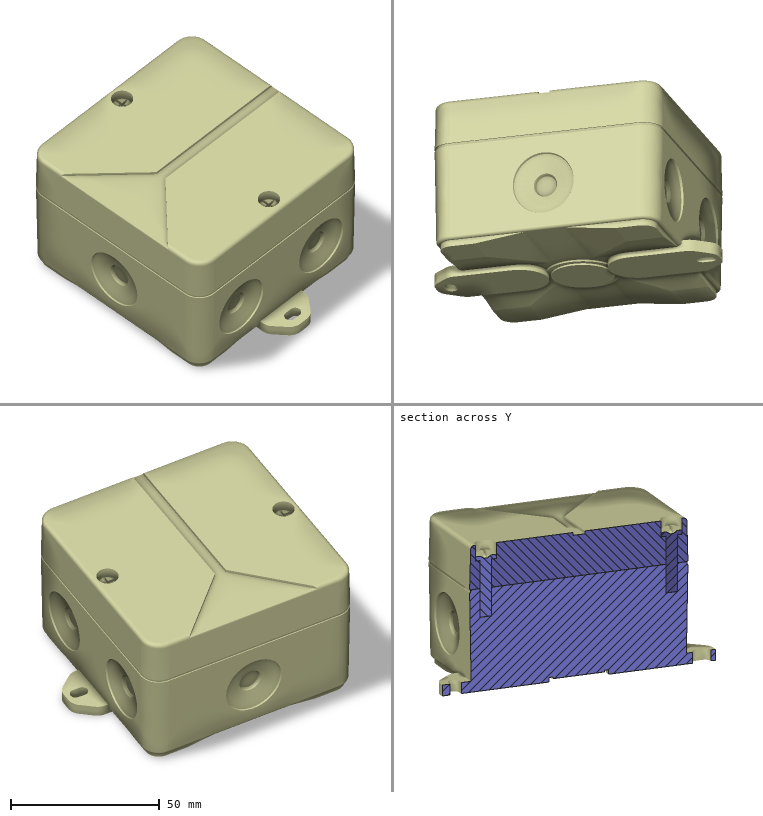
import cadquery as cq
import math

box_size = 80.0
total_height = 51.8
corner_radius = 7.0
base_draft = 1.0
lid_draft = 1.5
floor_z = 2.2
floor_fillet = 1.0
lid_bottom_z = 36.3
lid_fillet = 1.5

gap_height = 1.0
gap_inset = 0.4
base_rim_z = lid_bottom_z - gap_height

foot_inset = 2.0
foot_notch_half = 24.8
foot_notch_run_per_rise = 8.0

pad_diameter = 25.2
pad_step_z = 1.6
pad_tip_diameter = 21.4
pad_bottom_z = 1.0
pad_y = -5.0

lug_length = 100.0
lug_width = 20.0
lug_height = 4.0
lug_tip_width = 7.8
lug_shoulder_x = 42.5
lug_inner_x = 10.8
lug_corner_radius = 5.0
lug_slot_x = 45.0
lug_slot_length = 6.5
lug_slot_width = 4.0

entry_z = 18.5
entry_side_y = 19.5
entry_diameter = 21.6
entry_rim_diameter = 21.0
entry_rim_depth = 0.7
entry_cone_depth = 2.5
entry_well_diameter = 8.2
entry_floor_diameter = 7.2
entry_depth = 3.7

channel_depth = 1.0
channel_width = 4.2
channel_flare_y = -16.9

screw_x = 34.0
screw_head_diameter = 7.5
screw_crown_diameter = 4.0
screw_top_z = 49.0
screw_head_height = 2.8
screw_shank_diameter = 4.0
screw_shank_length = 20.0
drive_width = 1.0
drive_slot_depth = 1.3
drive_depth = 2.2
drive_tip_half = 0.6
drive_top_half = 4.0

half_box = box_size / 2
floor_overlap_z = floor_z + floor_fillet
screw_seat_z = screw_top_z - screw_head_height
screw_tip_z = screw_seat_z - screw_shank_length


def rounded_block(size, radius, bottom_z, height, taper=0.0):
    """Square block with rounded upright corners; a negative height grows it downward."""
    outline = cq.Sketch().rect(size, size).vertices().fillet(radius)
    return cq.Workplane("XY", origin=(0, 0, bottom_z)).placeSketch(outline).extrude(height, taper=taper)


def upright_cylinder(diameter, x, y, bottom_z, top_z):
    return cq.Workplane("XY", origin=(x, y, bottom_z)).circle(diameter / 2).extrude(top_z - bottom_z)


def feet():
    """Four corner feet, left by sloped notches that run right through in X and in Y."""
    foot_size = box_size - 2 * foot_inset
    plinth = rounded_block(foot_size, corner_radius - foot_inset, 0, floor_overlap_z)
    notch_top_half = foot_notch_half - floor_z * foot_notch_run_per_rise
    notch_profile = [
        (-foot_notch_half, 0),
        (foot_notch_half, 0),
        (notch_top_half, floor_z),
        (-notch_top_half, floor_z),
    ]
    for plane in ("XZ", "YZ"):
        plinth = plinth.cut(cq.Workplane(plane).polyline(notch_profile).close().extrude(half_box, both=True))
    return plinth


def stepped_pad():
    """Two round steps on the underside, set off towards -Y."""
    step = upright_cylinder(pad_diameter, 0, pad_y, pad_step_z, floor_overlap_z)
    tip = upright_cylinder(pad_tip_diameter, 0, pad_y, pad_bottom_z, floor_overlap_z)
    return step.union(tip)


def lug(side, slot_angle):
    """Slotted fixing lug that runs in under the floor; side is -1 for -X and +1 for +X."""
    tip_x = side * lug_length / 2
    shoulder_x = side * lug_shoulder_x
    inner_x = side * lug_inner_x
    straight_x = side * (lug_inner_x + lug_width / 2)
    half_tip = lug_tip_width / 2
    half_width = lug_width / 2
    plate = (
        cq.Workplane("XY")
        .moveTo(straight_x, half_width)
        .lineTo(shoulder_x, half_width)
        .lineTo(tip_x, half_tip)
        .lineTo(tip_x, -half_tip)
        .lineTo(shoulder_x, -half_width)
        .lineTo(straight_x, -half_width)
        .threePointArc((inner_x, 0), (straight_x, half_width))
        .close()
        .extrude(lug_height)
    )
    between_straight_and_shoulder_x = (straight_x + shoulder_x) / 2
    outer_corners = cq.selectors.BoxSelector(
        (between_straight_and_shoulder_x, -lug_width, 0), (side * lug_length, lug_width, lug_height)
    )
    plate = plate.edges("|Z").edges(outer_corners).fillet(lug_corner_radius)
    slot = (
        cq.Workplane("XY", origin=(side * lug_slot_x, 0, 0))
        .slot2D(lug_slot_length, lug_slot_width, slot_angle)
        .extrude(lug_height)
    )
    return plate.cut(slot)


def entry_recess(offset, turn):
    """Recess in the -Y wall at the given X offset, turned about Z onto another wall."""
    drafted_inset = (base_rim_z - entry_z) * math.tan(math.radians(base_draft))
    wall = half_box - drafted_inset
    profile = [
        (0, half_box),
        (entry_diameter / 2, half_box),
        (entry_rim_diameter / 2, wall - entry_rim_depth),
        (entry_well_diameter / 2, wall - entry_cone_depth),
        (entry_floor_diameter / 2, wall - entry_depth),
        (0, wall - entry_depth),
    ]
    recess = cq.Workplane("XY").polyline(profile).close().revolve(360, (0, 0), (0, 1))
    recess = recess.rotate((0, 0, 0), (0, 0, 1), 180).translate((offset, 0, entry_z))
    return recess.rotate((0, 0, 0), (0, 0, 1), turn)


def build_base():
    base = rounded_block(box_size, corner_radius, base_rim_z, -(base_rim_z - floor_z), base_draft)
    base = base.faces("<Z").edges().fillet(floor_fillet)
    rim = rounded_block(box_size - 2 * gap_inset, corner_radius - gap_inset, base_rim_z, gap_height)
    base = base.union(rim).union(feet()).union(stepped_pad())
    base = base.union(lug(-1, 0)).union(lug(1, 90))
    for turn in (0, 180):
        base = base.cut(entry_recess(0, turn))
    for turn in (90, 270):
        for offset in (-entry_side_y, entry_side_y):
            base = base.cut(entry_recess(offset, turn))
    for x in (-screw_x, screw_x):
        base = base.cut(upright_cylinder(screw_shank_diameter, x, 0, screw_tip_z, lid_bottom_z))
    return base


def lid_channel():
    """Straight channel from +Y that flares at 45 degrees into a triangle at the -Y side."""
    half_width = channel_width / 2
    flare_half = half_width + channel_flare_y + half_box
    return (
        cq.Workplane("XY", origin=(0, 0, total_height - channel_depth))
        .moveTo(-half_width, half_box)
        .lineTo(half_width, half_box)
        .lineTo(half_width, channel_flare_y)
        .lineTo(flare_half, -half_box)
        .lineTo(-flare_half, -half_box)
        .lineTo(-half_width, channel_flare_y)
        .close()
        .extrude(channel_depth)
    )


def build_lid():
    lid = rounded_block(box_size, corner_radius, lid_bottom_z, total_height - lid_bottom_z, lid_draft)
    lid = lid.faces(">Z").edges().fillet(lid_fillet)
    lid = lid.cut(lid_channel())
    for x in (-screw_x, screw_x):
        lid = lid.cut(upright_cylinder(screw_head_diameter, x, 0, screw_seat_z, total_height))
        lid = lid.cut(upright_cylinder(screw_shank_diameter, x, 0, lid_bottom_z, screw_seat_z))
    return lid


def build_screw(x):
    """Domed screw with a straight slot along X and a tapered cross drive."""
    dome_radius = (screw_head_diameter - screw_crown_diameter) / 2
    head = upright_cylinder(screw_head_diameter, 0, 0, screw_seat_z, screw_top_z)
    head = head.faces(">Z").edges().fillet(dome_radius)
    slot = cq.Workplane("XY", origin=(0, 0, screw_top_z)).rect(screw_head_diameter, drive_width)
    head = head.cut(slot.extrude(-drive_slot_depth))
    wing_profile = [
        (-drive_tip_half, screw_top_z - drive_depth),
        (drive_tip_half, screw_top_z - drive_depth),
        (drive_top_half, screw_top_z),
        (-drive_top_half, screw_top_z),
    ]
    for plane in ("XZ", "YZ"):
        head = head.cut(cq.Workplane(plane).polyline(wing_profile).close().extrude(drive_width / 2, both=True))
    shank = upright_cylinder(screw_shank_diameter, 0, 0, screw_tip_z, screw_seat_z)
    return head.union(shank).translate((x, 0, 0))


base = build_base()
lid = build_lid()
screws = [build_screw(x) for x in (-screw_x, screw_x)]

result = cq.Compound.makeCompound([base.val(), lid.val(), *[screw.val() for screw in screws]])